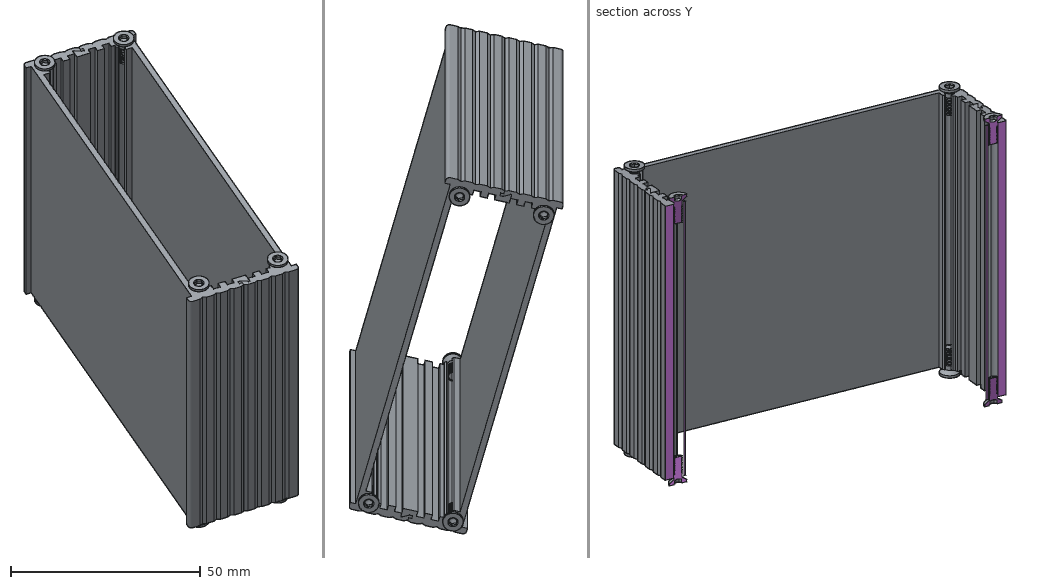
import cadquery as cq
import math

WIDTH = 105.0
DEPTH = 32.0
SCREW_SPAN = 84.0
LENGTH = 80.0
HALF_WIDTH = WIDTH / 2
HALF_DEPTH = DEPTH / 2

WALL_THICKNESS = 2.2
FLANGE_THICKNESS = 2.0
FLANGE_ROUND = 1.0
PANEL_SETBACK = 1.5
PANEL_THICKNESS = 1.7
PANEL_OUTER_Y = HALF_DEPTH - PANEL_SETBACK
PANEL_INNER_Y = PANEL_OUTER_Y - PANEL_THICKNESS

GROOVE_COUNT = 7
GROOVE_PITCH = DEPTH / (GROOVE_COUNT + 1)
GROOVE_WIDTH = 1.9
GROOVE_DEPTH = 0.4

RIB_DEPTH = 3.7
SLOT_WIDTH = GROOVE_PITCH / 2
CENTRE_RIB_HALF = GROOVE_PITCH / 2
SLOTS_PER_SIDE = 2

JOINT_LEDGE_Y = 0.1
BARB_TIP_Y = 0.9
BARB_START = 1.3
BARB_END = 2.1
HOOK_TOE_START = 1.0
HOOK_TOE_Y = -1.7

HEAD_DIAMETER = 5.5
HEAD_RIM = 0.7
HEAD_CONE = 0.9
SHANK_DIAMETER = 2.7
SCREW_LENGTH = 8.0
THREAD_PITCH = 0.5
THREAD_DEPTH = 0.2
THREAD_TURNS = 10
SOCKET_MOUTH_DIAMETER = 2.7
SOCKET_FLATS = 2.1
SOCKET_DEPTH = 1.0
SOCKET_TIP = 0.5

SCREW_X = HALF_WIDTH - 4.0
SCREW_Y = HALF_DEPTH - 4.5
BOSS_REACH = 2.4
BOSS_CHAMFER = 2.1
CHANNEL_OPENING = 1.8
CORNERS = [(side_x, side_y) for side_x in (-1, 1) for side_y in (-1, 1)]


def prism(points):
    """Full-length prism along Z over a closed polygon."""
    return cq.Workplane("XY").polyline(points).close().extrude(LENGTH / 2, both=True)


def bar(x0, x1, y0, y1):
    """Full-length rectangular bar along Z."""
    return prism([(x0, y0), (x1, y0), (x1, y1), (x0, y1)])


def left_wall():
    """Side wall at -X with flanges, V grooves and board slots."""
    outer = -HALF_WIDTH
    slot_floor = outer + WALL_THICKNESS
    rib_face = outer + RIB_DEPTH

    flange = bar(outer, outer + FLANGE_THICKNESS, -HALF_DEPTH, HALF_DEPTH)
    flange = flange.edges("|Z and <X").fillet(FLANGE_ROUND)
    wall = flange.union(bar(outer + FLANGE_ROUND, rib_face, -PANEL_OUTER_Y, PANEL_OUTER_Y))

    for side in (-1, 1):
        for i in range(SLOTS_PER_SIDE):
            start = CENTRE_RIB_HALF + i * GROOVE_PITCH
            wall = wall.cut(bar(slot_floor, rib_face, side * start, side * (start + SLOT_WIDTH)))

    for i in range(GROOVE_COUNT):
        y = (i - (GROOVE_COUNT - 1) / 2) * GROOVE_PITCH
        groove = [
            (outer, y - GROOVE_WIDTH / 2),
            (outer + GROOVE_DEPTH, y),
            (outer, y + GROOVE_WIDTH / 2),
        ]
        wall = wall.cut(prism(groove))
    return wall


def panel(side):
    """Large flat panel between the flanges."""
    reach = HALF_WIDTH - FLANGE_THICKNESS
    return bar(-reach, reach, side * PANEL_INNER_Y, side * PANEL_OUTER_Y)


def screw_boss(side_x, side_y):
    """Corner block around a screw, its inward corner chamfered."""
    inner_x = SCREW_X - BOSS_REACH
    inner_y = SCREW_Y - BOSS_REACH
    wall_x = HALF_WIDTH - WALL_THICKNESS
    outline = [
        (inner_x, PANEL_INNER_Y),
        (inner_x, inner_y + BOSS_CHAMFER),
        (inner_x + BOSS_CHAMFER, inner_y),
        (wall_x, inner_y),
        (wall_x, PANEL_INNER_Y),
    ]
    return prism([(side_x * x, side_y * y) for x, y in outline])


def screw_channel(side_x, side_y):
    """Bore for a screw, open along the diagonal towards the inside."""
    bore = cq.Workplane("XY").circle(SHANK_DIAMETER / 2).extrude(LENGTH / 2, both=True)
    opening = bar(0, HEAD_DIAMETER / 2, -CHANNEL_OPENING / 2, CHANNEL_OPENING / 2)
    inward = math.degrees(math.atan2(-side_y, -side_x))
    opening = opening.rotate((0, 0, 0), (0, 0, 1), inward)
    return bore.union(opening).translate((side_x * SCREW_X, side_y * SCREW_Y, 0))


def frame():
    """Complete rectangular tube before it is split into two shells."""
    wall = left_wall()
    body = wall.union(wall.mirror("YZ"))
    for side in (-1, 1):
        body = body.union(panel(side))
    for side_x, side_y in CORNERS:
        body = body.union(screw_boss(side_x, side_y))
        body = body.cut(screw_channel(side_x, side_y))
    return body


def upper_region():
    """Space above the joint; the right joint is the left one turned half round about Z."""
    joint = [
        (0, JOINT_LEDGE_Y),
        (BARB_START, JOINT_LEDGE_Y),
        (BARB_START, BARB_TIP_Y),
        (BARB_END, BARB_TIP_Y),
        (BARB_END, JOINT_LEDGE_Y),
        (HOOK_TOE_START, HOOK_TOE_Y),
        (HOOK_TOE_START, -CENTRE_RIB_HALF),
        (RIB_DEPTH, -CENTRE_RIB_HALF),
    ]
    left = [(inset - HALF_WIDTH, y) for inset, y in joint]
    right = [(-x, -y) for x, y in reversed(left)]
    return prism(left + right + [(HALF_WIDTH, HALF_DEPTH), (-HALF_WIDTH, HALF_DEPTH)])


def revolved(profile):
    """Solid of revolution about Z from (radius, z) points."""
    return cq.Workplane("XZ").polyline(profile).close().revolve(360, (0, 0), (0, 1))


def socket():
    """Hexagonal socket with a conical floor and a countersunk mouth."""
    mouth = SOCKET_MOUTH_DIAMETER / 2
    floor_depth = SOCKET_DEPTH + SOCKET_TIP
    across_corners = SOCKET_FLATS / math.cos(math.pi / 6)
    hexagon = cq.Workplane("XY").polygon(6, across_corners).extrude(-floor_depth)
    drill = revolved([(0, 0), (mouth, 0), (mouth, -SOCKET_DEPTH), (0, -floor_depth)])
    countersink = revolved([(0, 0), (mouth, 0), (0, -mouth)])
    return hexagon.intersect(drill).union(countersink)


def screw():
    """Countersunk screw with ring threads, head top at z = 0, pointing down."""
    head = HEAD_DIAMETER / 2
    shank = SHANK_DIAMETER / 2
    profile = [(0, 0), (head, 0), (head, -HEAD_RIM), (shank, -HEAD_RIM - HEAD_CONE)]
    for turn in range(THREAD_TURNS):
        crest_z = -SCREW_LENGTH + (THREAD_TURNS - turn) * THREAD_PITCH
        profile.append((shank, crest_z))
        profile.append((shank - THREAD_DEPTH, crest_z - THREAD_PITCH / 2))
    profile += [(shank, -SCREW_LENGTH), (0, -SCREW_LENGTH)]
    return revolved(profile).cut(socket())


def place_screws():
    """Four screws in each end of the enclosure."""
    top_screw = screw().translate((0, 0, SCREW_SPAN / 2))
    bottom_screw = top_screw.rotate((0, 0, 0), (1, 0, 0), 180)
    placed = []
    for one_screw in (top_screw, bottom_screw):
        for side_x, side_y in CORNERS:
            placed.append(one_screw.translate((side_x * SCREW_X, side_y * SCREW_Y, 0)))
    return placed


upper_shell = frame().intersect(upper_region())
lower_shell = upper_shell.rotate((0, 0, 0), (0, 0, 1), 180)
screws = place_screws()

result = cq.Compound.makeCompound(
    [upper_shell.val(), lower_shell.val(), *[one_screw.val() for one_screw in screws]]
)